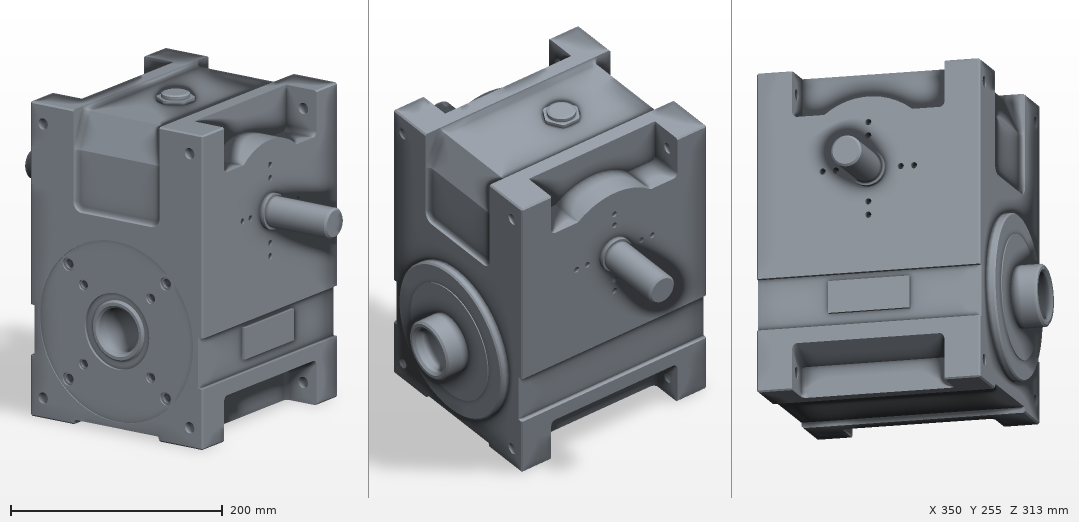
import cadquery as cq


WIDTH = 200.0
DEPTH = 220.0
HEIGHT = 310.0
BASE_Z = -100.0
TOP_Z = BASE_Z + HEIGHT
HALF_WIDTH = WIDTH / 2
HALF_DEPTH = DEPTH / 2
EDGE_CHAMFER = 1.5
OVERCUT = 20.0

SADDLE_WIDTH = 100.0
SADDLE_DEPTH = 5.0
SADDLE_BOTTOM_Z = 110.0
SADDLE_SLOPE_Z = 170.0
SADDLE_SLOPE_RUN = 15.0
SADDLE_CORNER_RADIUS = 10.0
FLOOR_FILLET = 5.0

CHANNEL_WIDTH = 100.0
CHANNEL_DEPTH = 5.0
CHANNEL_DRAFT_RUN = 1.5

POCKET_LENGTH = 150.0
POCKET_DEPTH = 35.0
POCKET_RADIUS = 5.0
UPPER_POCKET_FLOOR_Z = 165.0
LOWER_POCKET_LIP_Z = -55.0
LOWER_POCKET_CEILING_Z = -70.0
MOUNT_HOLE_DIAMETER = 11.0
MOUNT_HOLE_X = 85.0
MOUNT_HOLE_INSET = 20.0
MOUNT_HOLE_HEIGHTS = (BASE_Z + MOUNT_HOLE_INSET, TOP_Z - MOUNT_HOLE_INSET)

BAND_BOTTOM_Z = -40.0
BAND_HEIGHT = 50.0
BAND_DEPTH = 5.0
PLATE_LENGTH = 80.0
PLATE_HEIGHT = 31.0
PLATE_THICKNESS = 4.0
PLATE_CENTER_Z = -12.0

INPUT_Z = 110.0
INPUT_BOSS_RADIUS = 70.0
INPUT_DIAMETER = 30.0
INPUT_LENGTH = 350.0
INPUT_CHAMFER = 2.0
COLLAR_DIAMETER = 35.0
COLLAR_PROJECTION = 5.0
COVER_HOLE_DIAMETER = 6.0
COVER_HOLE_DEPTH = 12.0
COVER_HOLE_RADII = (32.0, 45.0)

COVER_DIAMETER = 178.0
COVER_RECESS = 1.0
SEAL_DIAMETER = 75.0
SEAL_RECESS = 3.0
SHAFT_DIAMETER = 60.0
SHAFT_PROJECTION = 35.0
SHAFT_CHAMFER = 2.0
SHAFT_FRONT_SETBACK = 1.0
BORE_DIAMETER = 45.0
BORE_CHAMFER = 2.5
FLANGE_DIAMETER = 160.0
FLANGE_THICKNESS = 9.0
FLANGE_CHAMFER = 1.5
FLANGE_RING_DIAMETER = 120.0
FLANGE_RING_THICKNESS = 1.0
OUTER_SCREW_PITCH = 113.0
OUTER_SCREW_DIAMETER = 13.0
OUTER_SOCKET_DIAMETER = 9.0
INNER_SCREW_PITCH = 78.0
INNER_SCREW_DIAMETER = 10.5
INNER_SOCKET_DIAMETER = 8.0
SCREW_HEAD_DEPTH = 2.0
SOCKET_DEPTH = 6.0

PLUG_Y = -13.5
PLUG_FLATS = 33.0
PLUG_HEX_HEIGHT = 3.5
PLUG_CORNER_DIAMETER = 36.5
PLUG_CAP_DIAMETER = 27.5
PLUG_CAP_CHAMFER_HEIGHT = 1.0
PLUG_CAP_CHAMFER_RUN = 2.3
OVERALL_HEIGHT = 312.99
PLUG_TOP_Z = BASE_Z + OVERALL_HEIGHT
PLUG_SEAT_DIAMETER = 38.0
PLUG_SEAT_DEPTH = 0.5

SADDLE_TOP_Z = TOP_Z - SADDLE_DEPTH


def box(x0, x1, y0, y1, z0, z1):
    """Box between two opposite corners."""
    return cq.Workplane("XY").box(x1 - x0, y1 - y0, z1 - z0, centered=False).translate((x0, y0, z0))


def cylinder_y(diameter, y0, y1, x=0.0, z=0.0):
    """Cylinder along Y from y0 to y1."""
    plane = cq.Workplane("XZ", origin=(x, y0, z))
    return plane.circle(diameter / 2).extrude(y0 - y1)


def cylinder_x(diameter, x0, x1, y=0.0, z=0.0):
    """Cylinder along X from x0 to x1."""
    plane = cq.Workplane("YZ", origin=(x0, y, z))
    return plane.circle(diameter / 2).extrude(x1 - x0)


def on_both_sides(cutter):
    """The -X cutter together with its mirror image on +X."""
    return cutter.union(cutter.mirror("YZ"))


def saddle_cutter():
    outer_y = HALF_DEPTH + OVERCUT
    floor_y = HALF_DEPTH - SADDLE_DEPTH
    lean_y = floor_y - SADDLE_SLOPE_RUN
    half_outline = [
        (lean_y, SADDLE_TOP_Z),
        (floor_y, SADDLE_SLOPE_Z),
        (floor_y, SADDLE_BOTTOM_Z),
        (outer_y, SADDLE_BOTTOM_Z),
        (outer_y, TOP_Z + OVERCUT),
    ]
    outline = half_outline + [(-y, z) for y, z in reversed(half_outline)]
    cutter = cq.Workplane("YZ").polyline(outline).close().extrude(SADDLE_WIDTH / 2, both=True)
    cutter = cutter.edges("|Y").edges("<Z").fillet(SADDLE_CORNER_RADIUS)

    slack = 1.0
    around_floors = cq.selectors.BoxSelector(
        (-SADDLE_WIDTH, -floor_y - slack, SADDLE_BOTTOM_Z - slack),
        (SADDLE_WIDTH, floor_y + slack, SADDLE_TOP_Z + slack),
    )
    bends = cq.selectors.BoxSelector(
        (-slack, -floor_y - slack, SADDLE_BOTTOM_Z + slack),
        (slack, floor_y + slack, SADDLE_TOP_Z + slack),
    )
    return cutter.edges(around_floors - bends).fillet(FLOOR_FILLET)


def channel_cutter():
    half = CHANNEL_WIDTH / 2
    floor_half = half - CHANNEL_DRAFT_RUN
    floor_z = BASE_Z + CHANNEL_DEPTH
    outline = [(-half, BASE_Z), (half, BASE_Z), (floor_half, floor_z), (-floor_half, floor_z)]
    return cq.Workplane("XZ").polyline(outline).close().extrude(HALF_DEPTH, both=True)


def upper_pocket_cutter():
    half = POCKET_LENGTH / 2
    floor_x = -HALF_WIDTH + POCKET_DEPTH
    outer_x = -HALF_WIDTH - OVERCUT
    pocket = box(outer_x, floor_x, -half, half, UPPER_POCKET_FLOOR_Z, TOP_Z + OVERCUT)
    pocket = pocket.edges("|X").edges("<Z").fillet(POCKET_RADIUS)
    return pocket.cut(cylinder_x(2 * INPUT_BOSS_RADIUS, outer_x, floor_x, z=INPUT_Z))


def lower_pocket_cutter():
    floor_x = -HALF_WIDTH + POCKET_DEPTH
    outer_x = -HALF_WIDTH - OVERCUT
    slope = (LOWER_POCKET_LIP_Z - LOWER_POCKET_CEILING_Z) / POCKET_DEPTH
    outline = [
        (floor_x, BASE_Z - OVERCUT),
        (floor_x, LOWER_POCKET_CEILING_Z),
        (outer_x, LOWER_POCKET_LIP_Z + slope * OVERCUT),
        (outer_x, BASE_Z - OVERCUT),
    ]
    cutter = cq.Workplane("XZ").polyline(outline).close().extrude(POCKET_LENGTH / 2, both=True)
    floor_edges = cutter.faces(">X").edges("|Z")
    ceiling_edges = cutter.faces(">Z").edges("not |Y")
    return cutter.newObject(floor_edges.vals() + ceiling_edges.vals()).fillet(POCKET_RADIUS)


def band_cutter():
    return box(
        -HALF_WIDTH, -HALF_WIDTH + BAND_DEPTH, -HALF_DEPTH, HALF_DEPTH,
        BAND_BOTTOM_Z, BAND_BOTTOM_Z + BAND_HEIGHT,
    )


def housing():
    body = box(-HALF_WIDTH, HALF_WIDTH, -HALF_DEPTH, HALF_DEPTH, BASE_Z, TOP_Z)
    body = body.edges().chamfer(EDGE_CHAMFER)
    body = body.cut(saddle_cutter()).cut(channel_cutter())
    for cutter in (upper_pocket_cutter(), lower_pocket_cutter(), band_cutter()):
        body = body.cut(on_both_sides(cutter))
    for x in (-MOUNT_HOLE_X, MOUNT_HOLE_X):
        for z in MOUNT_HOLE_HEIGHTS:
            body = body.cut(cylinder_y(MOUNT_HOLE_DIAMETER, -HALF_DEPTH, HALF_DEPTH, x, z))
    return body


def add_name_plate(body):
    x0 = HALF_WIDTH - BAND_DEPTH
    z0 = PLATE_CENTER_Z - PLATE_HEIGHT / 2
    half = PLATE_LENGTH / 2
    return body.union(box(x0, x0 + PLATE_THICKNESS, -half, half, z0, z0 + PLATE_HEIGHT))


def add_input_shaft(body):
    half = INPUT_LENGTH / 2
    collar_x = HALF_WIDTH + COLLAR_PROJECTION
    shaft = cylinder_x(INPUT_DIAMETER, -half, half, z=INPUT_Z)
    shaft = shaft.faces("<X or >X").edges().chamfer(INPUT_CHAMFER)
    return body.union(shaft).union(cylinder_x(COLLAR_DIAMETER, -collar_x, collar_x, z=INPUT_Z))


def cut_input_cover_holes(body):
    floor_x = -HALF_WIDTH + COVER_HOLE_DEPTH
    for radius in COVER_HOLE_RADII:
        for y, z in ((radius, 0), (-radius, 0), (0, radius), (0, -radius)):
            hole = cylinder_x(COVER_HOLE_DIAMETER, -HALF_WIDTH, floor_x, y, INPUT_Z + z)
            body = body.cut(on_both_sides(hole))
    return body


def cut_front_cover(body):
    cover_y = -HALF_DEPTH + COVER_RECESS
    body = body.cut(cylinder_y(COVER_DIAMETER, -HALF_DEPTH, cover_y))
    body = body.cut(cylinder_y(SEAL_DIAMETER, cover_y, cover_y + SEAL_RECESS))
    screw_sets = (
        (OUTER_SCREW_PITCH, OUTER_SCREW_DIAMETER, OUTER_SOCKET_DIAMETER),
        (INNER_SCREW_PITCH, INNER_SCREW_DIAMETER, INNER_SOCKET_DIAMETER),
    )
    for pitch, head, socket in screw_sets:
        for x in (-pitch / 2, pitch / 2):
            for z in (-pitch / 2, pitch / 2):
                body = body.cut(cylinder_y(head, cover_y, cover_y + SCREW_HEAD_DEPTH, x, z))
                body = body.cut(cylinder_y(socket, cover_y, cover_y + SOCKET_DEPTH, x, z))
    return body


def add_rear_flange(body):
    flange_y = HALF_DEPTH + FLANGE_THICKNESS
    flange = cylinder_y(FLANGE_DIAMETER, HALF_DEPTH, flange_y).faces(">Y").edges().chamfer(FLANGE_CHAMFER)
    ring = cylinder_y(FLANGE_RING_DIAMETER, flange_y, flange_y + FLANGE_RING_THICKNESS)
    return body.union(flange).union(ring)


def add_output_shaft(body):
    front_y = -HALF_DEPTH + SHAFT_FRONT_SETBACK
    rear_y = HALF_DEPTH + SHAFT_PROJECTION
    shaft = cylinder_y(SHAFT_DIAMETER, front_y, rear_y).faces("<Y or >Y").edges().chamfer(SHAFT_CHAMFER)
    bore = cylinder_y(BORE_DIAMETER, front_y, rear_y)
    body = body.union(shaft).cut(bore)
    mouth_radius = BORE_DIAMETER / 2 + BORE_CHAMFER
    for y, inward in ((front_y, 1), (rear_y, -1)):
        mouth = cq.Solid.makeCone(
            mouth_radius, BORE_DIAMETER / 2, BORE_CHAMFER, cq.Vector(0, y, 0), cq.Vector(0, inward, 0)
        )
        body = body.cut(cq.Workplane(mouth))
    return body


def add_filler_plug(body):
    seat_z = SADDLE_TOP_Z - PLUG_SEAT_DEPTH
    hex_top_z = SADDLE_TOP_Z + PLUG_HEX_HEIGHT
    seat = cq.Workplane("XY", origin=(0, PLUG_Y, seat_z))
    hexagon = seat.polygon(6, PLUG_FLATS, circumscribed=True).extrude(hex_top_z - seat_z)
    hexagon = hexagon.intersect(seat.circle(PLUG_CORNER_DIAMETER / 2).extrude(hex_top_z - seat_z))
    cap = seat.circle(PLUG_CAP_DIAMETER / 2).extrude(PLUG_TOP_Z - PLUG_CAP_CHAMFER_HEIGHT - seat_z)
    crown = cq.Solid.makeCone(
        PLUG_CAP_DIAMETER / 2,
        PLUG_CAP_DIAMETER / 2 - PLUG_CAP_CHAMFER_RUN,
        PLUG_CAP_CHAMFER_HEIGHT,
        cq.Vector(0, PLUG_Y, PLUG_TOP_Z - PLUG_CAP_CHAMFER_HEIGHT),
    )
    recess = seat.circle(PLUG_SEAT_DIAMETER / 2).extrude(PLUG_SEAT_DEPTH)
    return body.cut(recess).union(hexagon).union(cap).union(cq.Workplane(crown))


part = add_name_plate(housing())
part = add_input_shaft(cut_input_cover_holes(part))
part = add_rear_flange(cut_front_cover(part))
part = add_output_shaft(part)
result = add_filler_plug(part)